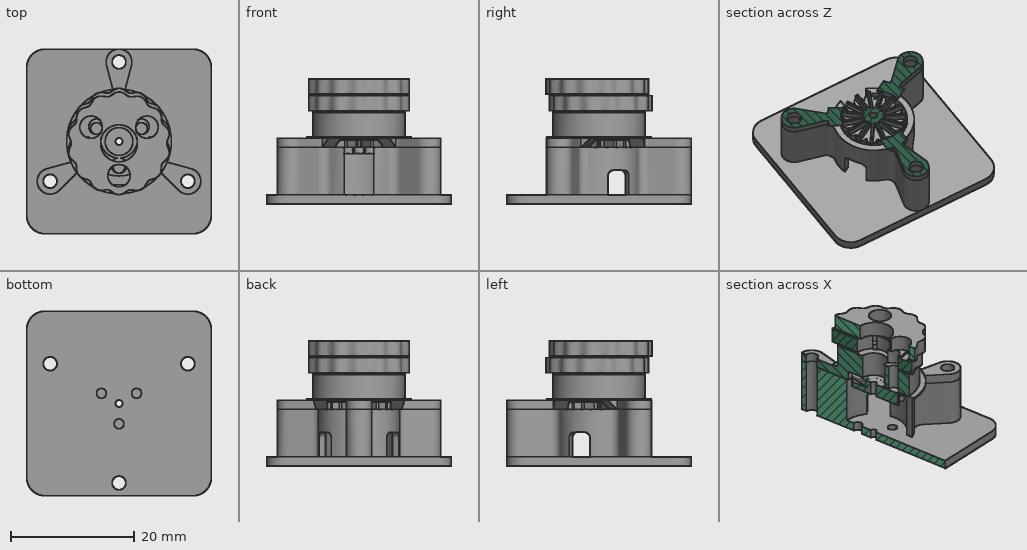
import cadquery as cq
import math

plate_side = 30.0
plate_thickness = 1.5
plate_corner_radius = 3.0
plate_hole_diameter = 1.6
plate_hole_circle_radius = 3.3

arm_angles = (90, 210, 330)
gap_angles = (30, 150, 270)
boss_radius = 2.1
boss_hole_diameter = 2.2
boss_circle_radius = plate_side / 2 - boss_radius
arm_apex_radius = 4.65
arm_fillet = 1.5

wall_height = 7.7
wall_outer_radius = 6.6
cavity_diameter = 11.0
opening_width = 4.85
opening_angle = 270
door_angles = (30, 150)
door_width = 3.9
door_height = 4.0
door_fillet = 1.0

arm_thickness = 1.5
strut_base_half_width = 1.0
flange_diameter = 17.0
flange_thickness = 0.2
drum_diameter = 15.0
drum_height = 3.95
strut_inner_diameter = 10.5
drum_bore_diameter = 4.5
pin_hole_diameter = 1.9
pin_circle_radius = 4.2

disc_gap = 0.225
disc_thickness = 2.5
disc_bore_diameter = 6.0
eccentricity = 0.3
lobe_count = 14
lobe_mean_radius = 8.05
ring_roller_radius = 0.75
points_per_lobe = 8
disc_pin_hole_diameter = 2.52
output_hole_diameter = 3.63
output_circle_radius = 5.25
recess_inner_radius = 5.9
recess_outer_distance = 7.35
recess_width = 3.9
recess_depth = 0.3

rotor_height = 2.3
rotor_top_gap = 0.2
rotor_pole_count = 15
rotor_pole_diameter = 1.6
rotor_outer_radius = 5.2
rotor_pole_disc_radius = 4.35
rotor_core_diameter = 3.3
rotor_fin_radius = 5.15
rotor_fin_width = 0.48
rotor_pole_height = 1.02
rotor_cap_thickness = 0.18
shaft_hole_diameter = 1.1

wall_top = plate_thickness + wall_height
arm_top = wall_top + arm_thickness
drum_top = arm_top + flange_thickness + drum_height
lower_disc_bottom = drum_top + disc_gap
upper_disc_bottom = lower_disc_bottom + disc_thickness + disc_gap
rotor_bottom = arm_top - rotor_top_gap - rotor_height


def polar(radius, angle):
    return (radius * math.cos(math.radians(angle)), radius * math.sin(math.radians(angle)))


def cylinder(diameter, bottom, height, center=(0, 0)):
    return cq.Workplane("XY", origin=(*center, bottom)).circle(diameter / 2).extrude(height)


def arm(bottom, height):
    """Teardrop along +X: a round boss whose tangent sides meet at a point."""
    apex_angle = math.asin(boss_radius / (boss_circle_radius - arm_apex_radius))
    tangent_x = boss_circle_radius - boss_radius * math.sin(apex_angle)
    tangent_y = boss_radius * math.cos(apex_angle)
    return (
        cq.Workplane("XY", origin=(0, 0, bottom))
        .moveTo(arm_apex_radius, 0)
        .lineTo(tangent_x, -tangent_y)
        .threePointArc((boss_circle_radius + boss_radius, 0), (tangent_x, tangent_y))
        .close()
        .extrude(height)
    )


def tripod(bottom, height):
    """Round hub with three teardrop arms, filleted where the arms leave the hub."""
    body = cylinder(2 * wall_outer_radius, bottom, height)
    for angle in arm_angles:
        body = body.union(arm(bottom, height).rotate((0, 0, 0), (0, 0, 1), angle))
    hub_zone = cq.selectors.BoxSelector(
        (-wall_outer_radius, -wall_outer_radius, bottom),
        (wall_outer_radius, wall_outer_radius, bottom + height),
    )
    body = body.edges("|Z").edges(hub_zone).fillet(arm_fillet)
    for angle in arm_angles:
        body = body.cut(cylinder(boss_hole_diameter, bottom, height, polar(boss_circle_radius, angle)))
    return body


def make_base():
    """Square plate with the motor housing standing on it."""
    plate = (
        cq.Workplane("XY")
        .rect(plate_side, plate_side)
        .extrude(plate_thickness)
        .edges("|Z")
        .fillet(plate_corner_radius)
    )
    housing = tripod(plate_thickness, wall_height)
    housing = housing.cut(cylinder(cavity_diameter, plate_thickness, wall_height))

    opening = cq.Workplane("XY", origin=(0, 0, plate_thickness)).box(
        2 * wall_outer_radius, opening_width, wall_height, centered=(False, True, False)
    )
    housing = housing.cut(opening.rotate((0, 0, 0), (0, 0, 1), opening_angle))

    door = (
        cq.Workplane("XY", origin=(0, 0, plate_thickness))
        .box(2 * wall_outer_radius, door_width, door_height, centered=(False, True, False))
        .edges("|X and >Z")
        .fillet(door_fillet)
    )
    for angle in door_angles:
        housing = housing.cut(door.rotate((0, 0, 0), (0, 0, 1), angle))

    base = plate.union(housing)
    for angle in arm_angles:
        center = polar(boss_circle_radius, angle)
        base = base.cut(cylinder(boss_hole_diameter, 0, plate_thickness, center))
    for angle in arm_angles:
        center = polar(plate_hole_circle_radius, angle)
        base = base.cut(cylinder(plate_hole_diameter, 0, plate_thickness, center))
    return base.cut(cylinder(shaft_hole_diameter, 0, plate_thickness))


def strut():
    """Support along +X, cut to the ring afterwards, whose sides lean out at 45 degrees towards the top."""
    top_half_width = strut_base_half_width + arm_thickness
    return (
        cq.Workplane("YZ")
        .polyline([
            (-strut_base_half_width, wall_top),
            (strut_base_half_width, wall_top),
            (top_half_width, arm_top),
            (-top_half_width, arm_top),
        ])
        .close()
        .extrude(drum_diameter / 2)
    )


def make_drum():
    """Flanged drum carried by three arms, with leaning struts under the flange."""
    arms = tripod(wall_top, arm_thickness).cut(cylinder(drum_diameter, wall_top, arm_thickness))
    ring = cylinder(drum_diameter, wall_top, arm_thickness)
    ring = ring.cut(cylinder(strut_inner_diameter, wall_top, arm_thickness))
    drum = cylinder(flange_diameter, arm_top, flange_thickness)
    drum = drum.union(cylinder(drum_diameter, arm_top, drum_top - arm_top))
    drum = drum.union(arms)
    for angle in arm_angles:
        drum = drum.union(strut().rotate((0, 0, 0), (0, 0, 1), angle).intersect(ring))
    drum = drum.cut(cylinder(drum_bore_diameter, arm_top, drum_top - arm_top))
    for angle in gap_angles:
        center = polar(pin_circle_radius, angle)
        drum = drum.cut(cylinder(pin_hole_diameter, arm_top, drum_top - arm_top, center))
    return drum


def cycloid_point(angle):
    """Point of the disc outline: an epitrochoid moved inwards by the radius of the ring rollers."""
    wave_angle = (lobe_count + 1) * angle
    arm_x, arm_y = polar(lobe_mean_radius + ring_roller_radius, angle)
    wave_x, wave_y = polar(eccentricity, wave_angle)
    normal_x = arm_x + (lobe_count + 1) * wave_x
    normal_y = arm_y + (lobe_count + 1) * wave_y
    inset = ring_roller_radius / math.hypot(normal_x, normal_y)
    return (arm_x + wave_x - inset * normal_x, arm_y + wave_y - inset * normal_y)


def lobed_disc(bottom, hole_diameter, hole_circle_radius):
    """Disc on the Z axis with a lobe pointing along +Y and three round holes."""
    point_count = lobe_count * points_per_lobe
    outline = [cycloid_point(360 * i / point_count) for i in range(point_count)]
    disc = (
        cq.Workplane("XY", origin=(0, 0, bottom))
        .transformed(rotate=(0, 0, 90))
        .spline(outline, periodic=True)
        .close()
        .extrude(disc_thickness)
        .cut(cylinder(disc_bore_diameter, bottom, disc_thickness))
    )
    for angle in gap_angles:
        center = polar(hole_circle_radius, angle)
        disc = disc.cut(cylinder(hole_diameter, bottom, disc_thickness, center))
    return disc


def make_lower_disc():
    """Lobed disc shifted towards +Y, with a shallow flat-backed recess in its top."""
    disc = lobed_disc(lower_disc_bottom, disc_pin_hole_diameter, pin_circle_radius)
    recess_bottom = lower_disc_bottom + disc_thickness - recess_depth
    recess = (
        cq.Workplane("XY", origin=(0, -recess_outer_distance, recess_bottom))
        .box(recess_width, recess_outer_distance, recess_depth, centered=(True, False, False))
        .cut(cylinder(2 * recess_inner_radius, recess_bottom, recess_depth))
    )
    return disc.cut(recess).translate((0, eccentricity, 0))


def make_upper_disc():
    """Lobed disc shifted towards -Y."""
    disc = lobed_disc(upper_disc_bottom, output_hole_diameter, output_circle_radius)
    return disc.translate((0, -eccentricity, 0))


def make_rotor():
    """Ring of round poles with a radial fin above each, under a flat cap."""
    fin_height = rotor_height - rotor_pole_height
    fin_bottom = rotor_bottom + rotor_pole_height
    rotor = cylinder(2 * rotor_pole_disc_radius, rotor_bottom, rotor_pole_height)
    rotor = rotor.union(cylinder(rotor_core_diameter, rotor_bottom, rotor_height))
    cap_bottom = rotor_bottom + rotor_height - rotor_cap_thickness
    rotor = rotor.union(cylinder(2 * rotor_outer_radius, cap_bottom, rotor_cap_thickness))
    fin = cq.Workplane("XY", origin=(0, 0, fin_bottom)).box(
        rotor_fin_radius, rotor_fin_width, fin_height, centered=(False, True, False)
    )
    pole_circle_radius = rotor_fin_radius - rotor_pole_diameter / 2
    for i in range(rotor_pole_count):
        angle = opening_angle + 360 * i / rotor_pole_count
        rotor = rotor.union(fin.rotate((0, 0, 0), (0, 0, 1), angle))
        center = polar(pole_circle_radius, angle)
        rotor = rotor.union(cylinder(rotor_pole_diameter, rotor_bottom, rotor_pole_height, center))
    return rotor.cut(cylinder(shaft_hole_diameter, rotor_bottom, rotor_height))


base = make_base()
drum = make_drum()
lower_disc = make_lower_disc()
upper_disc = make_upper_disc()
rotor = make_rotor()

result = cq.Compound.makeCompound(
    [body.solids().val() for body in (base, drum, lower_disc, upper_disc, rotor)]
)